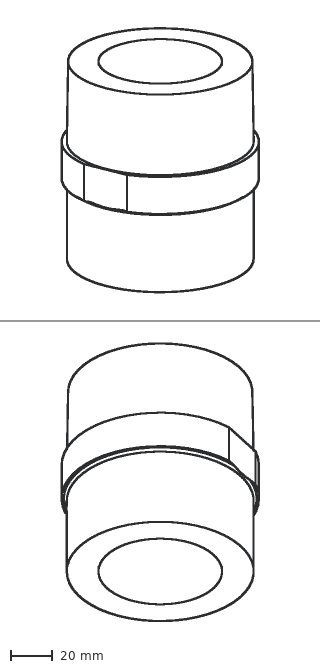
import cadquery as cq

height = 101.6
bore_diameter = 59.4

spigot_diameter = 89.9
top_diameter = 88.7

collar_diameter = 94.9
collar_bottom = 41.4
collar_top = 60.4
across_flats = 91.4

shoulder_diameter = 92.7
shoulder_height = 1.5


def tapered_section(start_diameter, end_diameter, start_z, end_z):
    """Solid cone on the Z axis between two heights."""
    return (
        cq.Workplane("XY")
        .workplane(offset=start_z)
        .circle(start_diameter / 2)
        .workplane(offset=end_z - start_z)
        .circle(end_diameter / 2)
        .loft(ruled=True)
    )


def flatted_collar():
    """Collar and its shoulder, trimmed by the two flats."""
    collar = (
        cq.Workplane("XY")
        .workplane(offset=collar_bottom)
        .circle(collar_diameter / 2)
        .extrude(collar_top - collar_bottom)
    )
    shoulder = tapered_section(
        spigot_diameter, shoulder_diameter, collar_bottom - shoulder_height, collar_bottom
    )
    trim = cq.Workplane("XY").box(
        collar_diameter, across_flats, height, centered=(True, True, False)
    )
    return collar.union(shoulder).intersect(trim)


lower_spigot = (
    cq.Workplane("XY")
    .circle(spigot_diameter / 2)
    .extrude(collar_bottom - shoulder_height)
)
upper_spigot = tapered_section(spigot_diameter, top_diameter, collar_top, height)
bore = cq.Workplane("XY").circle(bore_diameter / 2).extrude(height)

result = lower_spigot.union(flatted_collar()).union(upper_spigot).cut(bore)